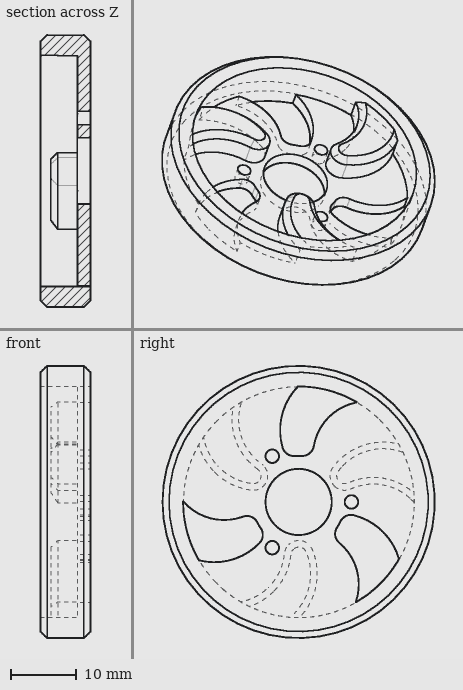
import math

import cadquery as cq

wheel_diameter = 41.27
wheel_width = 7.6
rim_chamfer = 1.0
rim_bore_diameter = 35.0
web_thickness = 2.0
hub_hole_diameter = 10.0

repeat_count = 3
pitch_radius = 8.0
small_hole_diameter = 2.01
small_hole_angle = 60.0
slot_angle = 90.0
blade_angle = 270.0

tip_radius = 2.2
tip_center = (0.0, pitch_radius)
convex_center = (-6.72, 10.86)
concave_center = (-10.35, 7.06)
outline_angle = 90.0

slot_inner_radius = 7.0
slot_corner_radius = 1.75
blade_height = 4.0
blade_chamfer = 1.0

wheel_radius = wheel_diameter / 2
rim_bore_radius = rim_bore_diameter / 2
front_x = -wheel_width / 2
web_back_x = wheel_width / 2
web_front_x = web_back_x - web_thickness
blade_outer_radius = (rim_bore_radius + wheel_radius) / 2
convex_radius = math.dist(convex_center, tip_center) + tip_radius
concave_radius = math.dist(concave_center, tip_center) - tip_radius


def face_plane(x):
    """Workplane at the given X; its axes are -Y and +Z, and it extrudes towards -X."""
    return cq.Workplane(cq.Plane(origin=(x, 0, 0), xDir=(0, -1, 0), normal=(-1, 0, 0)))


def repeated(shape, first_angle, start_angle):
    """Copies of a shape drawn at start_angle, spread evenly from first_angle on."""
    copies = cq.Workplane()
    for index in range(repeat_count):
        turn = first_angle - start_angle + index * 360.0 / repeat_count
        copies = copies.add(shape.rotate((0, 0, 0), (-1, 0, 0), turn))
    return copies.combine()


def point_towards(center, radius, target):
    """Point of a circle in the direction of a target point."""
    reach = radius / math.dist(center, target)
    return tuple(c + (t - c) * reach for c, t in zip(center, target))


def middle_of_arc(center, radius, start, end):
    """Middle point of the shorter arc between two points of a circle."""
    halfway = ((start[0] + end[0]) / 2, (start[1] + end[1]) / 2)
    return point_towards(center, radius, halfway)


def flank_point(center, radius, wheel_distance):
    """Point of a flank circle at the given distance from the wheel axis."""
    center_distance = math.hypot(*center)
    squares = wheel_distance**2 + center_distance**2 - radius**2
    cosine = squares / (2 * wheel_distance * center_distance)
    angle = math.atan2(center[1], center[0]) - math.acos(cosine)
    return (wheel_distance * math.cos(angle), wheel_distance * math.sin(angle))


def swirl_outline(plane, concave_start, convex_start, inner_middle, outer_radius):
    """Closed outline: two flanks, an inner arc through inner_middle and an outer arc."""
    concave_end = flank_point(concave_center, concave_radius, outer_radius)
    convex_end = flank_point(convex_center, convex_radius, outer_radius)
    concave_middle = middle_of_arc(concave_center, concave_radius, concave_start, concave_end)
    convex_middle = middle_of_arc(convex_center, convex_radius, convex_start, convex_end)
    outer_middle = middle_of_arc((0, 0), outer_radius, concave_end, convex_end)
    return (
        plane.moveTo(*concave_end)
        .threePointArc(concave_middle, concave_start)
        .threePointArc(inner_middle, convex_start)
        .threePointArc(convex_middle, convex_end)
        .threePointArc(outer_middle, concave_end)
        .close()
    )


def make_rim_and_web():
    wheel = face_plane(web_back_x).circle(wheel_radius).extrude(wheel_width)
    wheel = wheel.faces("<X or >X").edges().chamfer(rim_chamfer)
    cavity = face_plane(web_front_x).circle(rim_bore_radius).extrude(web_front_x - front_x)
    hub_hole = face_plane(web_back_x).circle(hub_hole_diameter / 2).extrude(web_thickness)
    return wheel.cut(cavity).cut(hub_hole)


def make_blades():
    """Raised blades with a round inner tip and a chamfered top."""
    concave_start = point_towards(tip_center, tip_radius, concave_center)
    convex_start = point_towards(convex_center, convex_radius, tip_center)
    tip_end = (tip_center[0], tip_center[1] - tip_radius)
    outline = swirl_outline(
        face_plane(web_front_x), concave_start, convex_start, tip_end, blade_outer_radius
    )
    blade = outline.extrude(blade_height).faces("<X").edges().chamfer(blade_chamfer)
    return repeated(blade, blade_angle, outline_angle)


def make_slots():
    """Cutters for the slots through the web, with rounded inner corners."""
    concave_start = flank_point(concave_center, concave_radius, slot_inner_radius)
    convex_start = flank_point(convex_center, convex_radius, slot_inner_radius)
    inner_middle = middle_of_arc((0, 0), slot_inner_radius, concave_start, convex_start)
    outline = swirl_outline(
        face_plane(web_back_x), concave_start, convex_start, inner_middle, rim_bore_radius
    )
    slot = outline.extrude(web_thickness)
    inner_corners = cq.selectors.BoxSelector(
        (front_x, -pitch_radius, 0), (web_back_x, pitch_radius, pitch_radius)
    )
    slot = slot.edges("|X").edges(inner_corners).fillet(slot_corner_radius)
    return repeated(slot, slot_angle, outline_angle)


def make_small_holes():
    hole = (
        face_plane(web_back_x)
        .center(pitch_radius, 0)
        .circle(small_hole_diameter / 2)
        .extrude(web_thickness)
    )
    return repeated(hole, small_hole_angle, 0.0)


result = make_rim_and_web().union(make_blades()).cut(make_slots()).cut(make_small_holes())